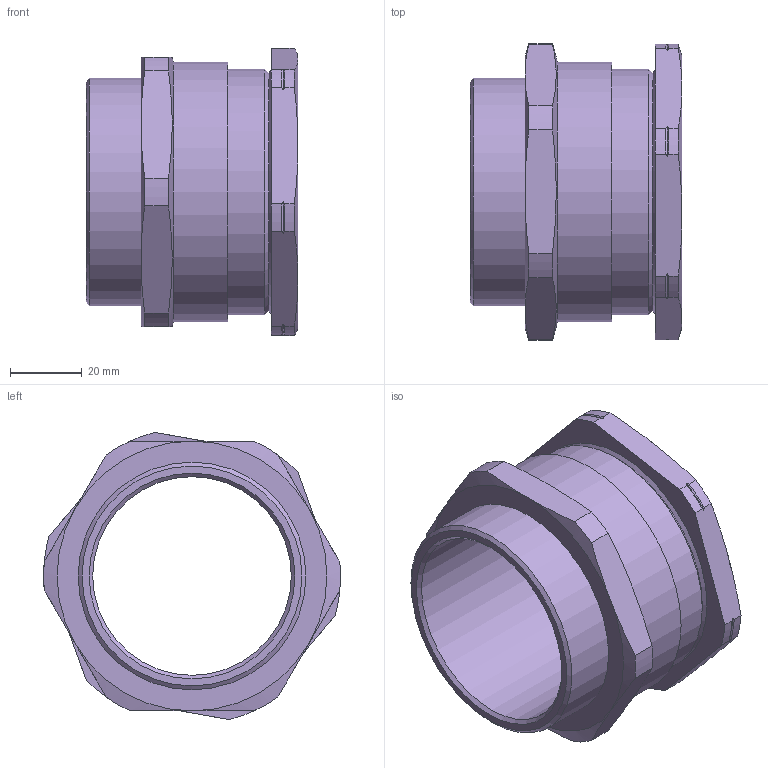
import cadquery as cq
import math


hex_start = 15.3
hex_end = 24.3
body_end = 39.35
nut_start = 51.5
total_length = 58.9

bore_diameter = 55.2
thread_diameter = 63.3
body_diameter = 72.2
neck_diameter = 68.3

across_flats = 75.0
corner_diameter = 82.5
corner_chamfer_angle = 15.0
nut_rotation = 10.0

thread_chamfer_length = 0.9
thread_chamfer_depth = 1.1
mouth_chamfer = 1.0
neck_chamfer = 1.15
nut_rim_length = 0.75
nut_rim_rise = 1.1
mark_half_width = 0.4
mark_depth = 0.25
mark_position = nut_start + 3.3

corner_radius = corner_diameter / 2
flat_radius = across_flats / 2


def revolve_about_axis(points):
    """Revolve a closed (x, radius) outline about the X axis."""
    return cq.Workplane("XY").polyline(points).close().revolve(360, (0, 0, 0), (1, 0, 0))


def cone_length(end_radius):
    """Axial length of the corner chamfer from the end face to the corner circle."""
    return (corner_radius - end_radius) * math.tan(math.radians(corner_chamfer_angle))


def hexagon(start, end):
    """Hexagonal prism along X with corners on Y and two flats facing +Z and -Z."""
    vertex_radius = flat_radius / math.cos(math.pi / 6)
    vertex_angles = [math.pi / 3 * i for i in range(6)]
    vertices = [(vertex_radius * math.cos(a), vertex_radius * math.sin(a)) for a in vertex_angles]
    return cq.Workplane("YZ", origin=(start, 0, 0)).polyline(vertices).close().extrude(end - start)


def turned_stock():
    """Thread, body, neck and the V groove in front of the nut."""
    thread_radius = thread_diameter / 2
    body_radius = body_diameter / 2
    neck_radius = neck_diameter / 2
    groove_radius = neck_radius - neck_chamfer
    groove_bottom = nut_start - nut_rim_length
    return revolve_about_axis([
        (0, 0),
        (0, thread_radius - thread_chamfer_depth),
        (thread_chamfer_length, thread_radius),
        (hex_start, thread_radius),
        (hex_start, body_radius),
        (body_end, body_radius),
        (body_end, neck_radius),
        (groove_bottom - neck_chamfer, neck_radius),
        (groove_bottom, groove_radius),
        (nut_start, groove_radius + nut_rim_rise),
        (total_length, groove_radius + nut_rim_rise),
        (total_length, 0),
    ])


def collar():
    """Hexagonal collar with its corners chamfered at both ends."""
    front_radius = flat_radius
    back_radius = body_diameter / 2
    envelope = revolve_about_axis([
        (hex_start, 0),
        (hex_start, front_radius),
        (hex_start + cone_length(front_radius), corner_radius),
        (hex_end - cone_length(back_radius), corner_radius),
        (hex_end, back_radius),
        (hex_end, 0),
    ])
    return hexagon(hex_start, hex_end).intersect(envelope)


def nut():
    """Hexagonal nut, chamfered at its outer end and with a shallow V groove across each corner."""
    envelope = revolve_about_axis([
        (nut_start, 0),
        (nut_start, corner_radius),
        (total_length - cone_length(flat_radius), corner_radius),
        (total_length, flat_radius),
        (total_length, 0),
    ])
    mark_groove = revolve_about_axis([
        (mark_position - mark_half_width, corner_radius),
        (mark_position, corner_radius - mark_depth),
        (mark_position + mark_half_width, corner_radius),
    ])
    blank = hexagon(nut_start, total_length).intersect(envelope).cut(mark_groove)
    return blank.rotate((0, 0, 0), (1, 0, 0), nut_rotation)


def bore():
    """Through bore with a chamfered mouth at the thread end."""
    bore_radius = bore_diameter / 2
    return revolve_about_axis([
        (0, 0),
        (0, bore_radius + mouth_chamfer),
        (mouth_chamfer, bore_radius),
        (total_length, bore_radius),
        (total_length, 0),
    ])


result = turned_stock().union(collar()).union(nut()).cut(bore())